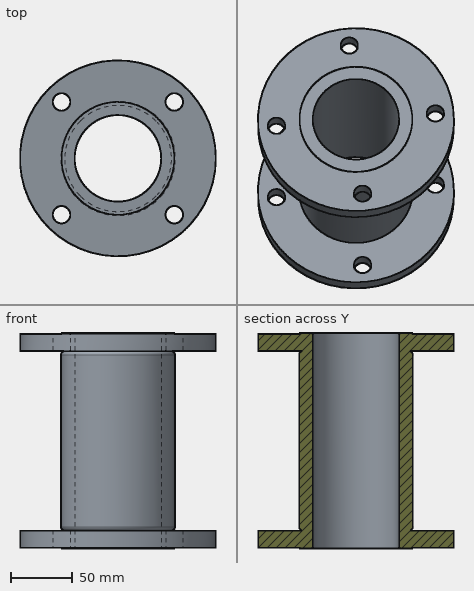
import cadquery as cq

length = 176.0
flange_diameter = 160.0
flange_thickness = 14.0
bore_diameter = 70.4

ring_diameter = 92.0
ring_height = 0.7

tube_diameter = 93.3
tube_edge_radius = 3.2

bolt_count = 4
bolt_circle_diameter = 130.0
bolt_hole_diameter = 14.0
first_bolt_angle = 45.0

flange_outer_z = length / 2 - ring_height
flange_inner_z = flange_outer_z - flange_thickness


def disc(diameter, bottom_z, top_z):
    """Solid cylinder on the Z axis between two heights."""
    return cq.Workplane("XY").workplane(offset=bottom_z).circle(diameter / 2).extrude(top_z - bottom_z)


def upper_flange():
    """Upper flange with its raised ring and bolt holes."""
    plate = disc(flange_diameter, flange_inner_z, flange_outer_z)
    ring = disc(ring_diameter, flange_inner_z, length / 2)
    bolt_holes = (
        cq.Workplane("XY")
        .workplane(offset=flange_inner_z)
        .polarArray(bolt_circle_diameter / 2, first_bolt_angle, 360, bolt_count)
        .circle(bolt_hole_diameter / 2)
        .extrude(flange_thickness)
    )
    return plate.union(ring).cut(bolt_holes)


def body_tube():
    """Tube between the flanges, its outer end edges rounded."""
    return disc(tube_diameter, -flange_inner_z, flange_inner_z).edges().fillet(tube_edge_radius)


top = upper_flange()
bottom = top.mirror("XY")
bore = disc(bore_diameter, -length / 2, length / 2)

result = body_tube().union(top).union(bottom).cut(bore)